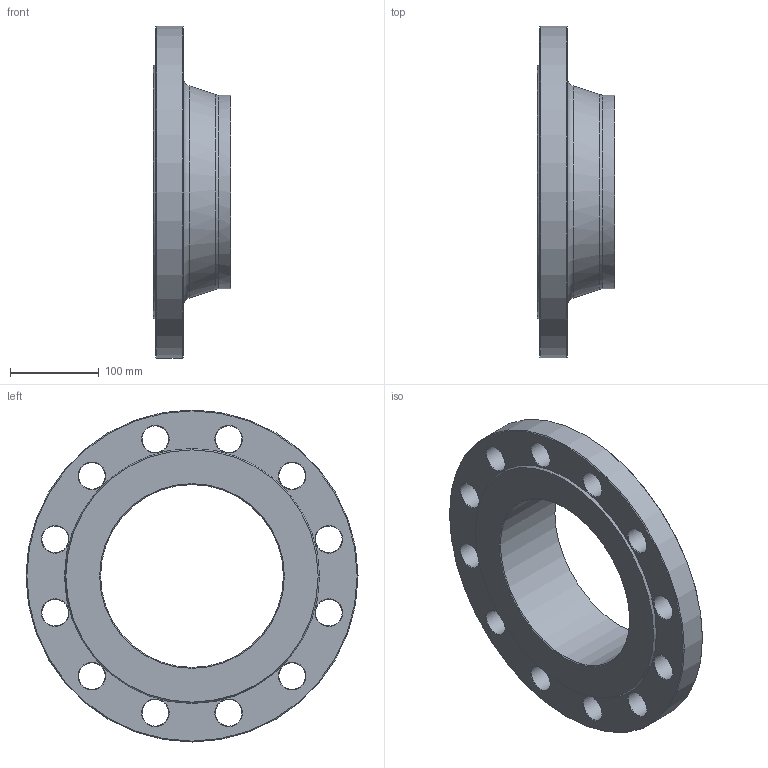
import cadquery as cq


flange_diameter = 375.0
flange_back = 34.0
flange_edge_chamfer = 1.0

face_diameter = 285.0
face_base_diameter = 288.0
face_height = 3.0

total_length = 88.0
hub_base_diameter = 244.0
hub_base_fillet = 10.0
pipe_diameter = 219.1
pipe_length = 16.0
hub_tip_fillet = 10.0
bore_diameter = 206.5
bore_chamfer = 1.0

bolt_count = 12
bolt_hole_diameter = 30.0
bolt_hole_chamfer = 0.5
bolt_circle_diameter = 320.0

hub_base_radius = hub_base_diameter / 2
pipe_radius = pipe_diameter / 2
bore_radius = bore_diameter / 2
bolt_hole_radius = bolt_hole_diameter / 2
taper_end = total_length - pipe_length


def revolve_about_x(points):
    """Revolve a closed (X, radius) outline about the X axis."""
    return cq.Workplane("XY").polyline(points).close().revolve(360, (0, 0, 0), (1, 0, 0))


def make_flange_plate():
    thickness = flange_back - face_height
    plate = cq.Workplane("YZ").workplane(offset=face_height).circle(flange_diameter / 2).extrude(thickness)
    return plate.faces("<X or >X").chamfer(flange_edge_chamfer)


def make_raised_face():
    return revolve_about_x([
        (0, 0),
        (0, face_diameter / 2),
        (face_height, face_base_diameter / 2),
        (face_height, 0),
    ])


def make_hub():
    """Cone and straight weld end; the root reaches through the plate."""
    return revolve_about_x([
        (face_height, 0),
        (face_height, hub_base_radius),
        (flange_back, hub_base_radius),
        (taper_end, pipe_radius),
        (total_length, pipe_radius),
        (total_length, 0),
    ])


def is_ring(edge, position, radius):
    """True for the circular edge at the given X position and radius."""
    tolerance = 0.01
    if edge.geomType() != "CIRCLE":
        return False
    return abs(edge.Center().x - position) < tolerance and abs(edge.radius() - radius) < tolerance


def fillet_ring(body, position, radius, fillet_radius):
    ring = body.edges().filter(lambda edge: is_ring(edge, position, radius))
    return ring.fillet(fillet_radius)


def make_hole_cutter(start, end, radius, chamfer):
    """Round cutter on the X axis, with a 45 degree countersink at its start."""
    return revolve_about_x([
        (start, 0),
        (start, radius + chamfer),
        (start + chamfer, radius),
        (end, radius),
        (end, 0),
    ])


def cut_bolt_holes(body):
    pitch_angle = 360 / bolt_count
    cutter = make_hole_cutter(face_height, flange_back, bolt_hole_radius, bolt_hole_chamfer)
    cutter = cutter.translate((0, bolt_circle_diameter / 2, 0))
    for index in range(bolt_count):
        angle = (index + 0.5) * pitch_angle
        body = body.cut(cutter.rotate((0, 0, 0), (1, 0, 0), angle))
    return body


flange = make_flange_plate().union(make_raised_face()).union(make_hub())
flange = fillet_ring(flange, flange_back, hub_base_radius, hub_base_fillet)
flange = fillet_ring(flange, taper_end, pipe_radius, hub_tip_fillet)
flange = flange.cut(make_hole_cutter(0, total_length, bore_radius, bore_chamfer))
result = cut_bolt_holes(flange)